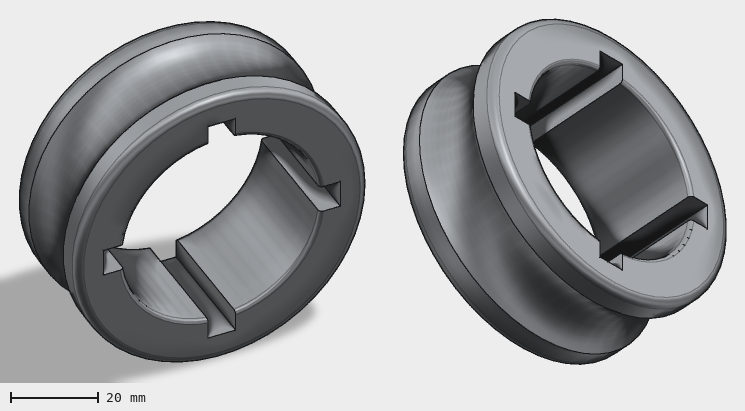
import cadquery as cq

outer_diameter = 74.0
width = 31.0
rim_fillet = 2.0
bore_diameter = 50.0
bore_fillet = 0.95

groove_radius = 12.0
groove_depth = 4.0

keyway_count = 4
keyway_width = 6.95
keyway_span = 60.0

outer_radius = outer_diameter / 2


def make_ring():
    """Plain ring with rounded rims and bore edges."""
    disc = cq.Workplane("YZ").circle(outer_radius).extrude(width / 2, both=True)
    disc = disc.faces("<X or >X").edges().fillet(rim_fillet)
    ring = disc.cut(cq.Workplane("YZ").circle(bore_diameter / 2).extrude(width / 2, both=True))
    return ring.faces("<X or >X").edges(cq.selectors.RadiusNthSelector(0)).fillet(bore_fillet)


def make_groove():
    """Torus that cuts the concave groove."""
    groove_centre = outer_radius - groove_depth + groove_radius
    return (
        cq.Workplane("XY")
        .center(0, groove_centre)
        .circle(groove_radius)
        .revolve(360, (0, -groove_centre), (1, -groove_centre))
    )


def make_keyways():
    """Bars reaching outward from the axis, one for each keyway."""
    reach = keyway_span / 2
    bar = cq.Workplane("XY").box(width, keyway_width, reach, centered=(True, True, False))
    bars = bar
    for index in range(1, keyway_count):
        bars = bars.union(bar.rotate((0, 0, 0), (1, 0, 0), index * 360 / keyway_count))
    return bars


result = make_ring().cut(make_groove()).cut(make_keyways())